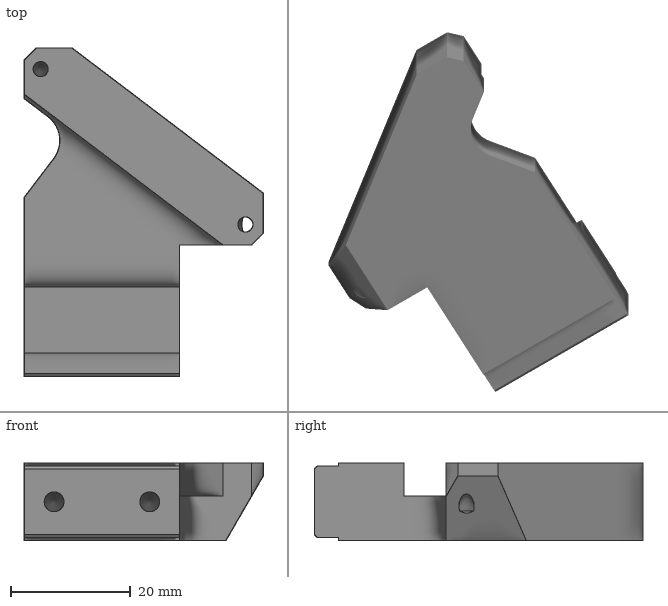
import cadquery as cq
import math

LENGTH_X = 40.0
LENGTH_Y = 55.0
HEIGHT = 13.0

STEM_WIDTH = 26.0
OVERHANG_Y = 22.0
CORNER_CHAMFER = 2.0

BAR_ANGLE = math.radians(37.2)
BAR_TOP_X = 8.0
BAR_WIDTH = 11.0
BAR_SLOPE = math.tan(BAR_ANGLE)

NOTCH_BAR_GAP = 0.6
NOTCH_START_Y = 30.0
NOTCH_RADIUS = 5.0

FLOOR_Z = 7.5
BLOCK_BACK_Y = 15.0

TONGUE_LENGTH = 4.0
TONGUE_STEP = 0.5
TONGUE_CHAMFER = 0.5

UNDERCUT_X = 33.75
UNDERCUT_ANGLE = math.radians(60)

DRILL_POINT_ANGLE = math.radians(118)
BAR_HOLE_DIAMETER = 2.5
BAR_HOLE_DEPTH = 8.0
BAR_HOLE_INSET = 5.0
BAR_HOLE_FIRST_X = 2.75
BAR_HOLE_SPACING = 43.0
FRONT_HOLE_DIAMETER = 3.3
FRONT_HOLE_DEPTH = 10.0
FRONT_HOLE_XS = (5.0, 21.0)
FRONT_HOLE_Z = HEIGHT / 2


def bar_line_y(x, inset):
    """Y at x on the line parallel to the bar, inset from its outer side."""
    return LENGTH_Y + (BAR_TOP_X - x) * BAR_SLOPE - inset / math.cos(BAR_ANGLE)


def make_body():
    return (
        cq.Workplane("XY")
        .moveTo(0, 0)
        .lineTo(STEM_WIDTH, 0)
        .lineTo(STEM_WIDTH, OVERHANG_Y)
        .lineTo(LENGTH_X - CORNER_CHAMFER, OVERHANG_Y)
        .lineTo(LENGTH_X, OVERHANG_Y + CORNER_CHAMFER)
        .lineTo(LENGTH_X, bar_line_y(LENGTH_X, 0))
        .lineTo(BAR_TOP_X, LENGTH_Y)
        .lineTo(CORNER_CHAMFER, LENGTH_Y)
        .lineTo(0, LENGTH_Y - CORNER_CHAMFER)
        .close()
        .extrude(HEIGHT)
    )


def make_notch():
    """Right-angled prism with a rounded inner corner, open to the left side."""
    upper_y = bar_line_y(0, BAR_WIDTH + NOTCH_BAR_GAP)
    corner_x = (upper_y - NOTCH_START_Y) / (BAR_SLOPE + 1 / BAR_SLOPE)
    corner_y = upper_y - corner_x * BAR_SLOPE
    return (
        cq.Workplane("XY")
        .polyline([(0, NOTCH_START_Y), (corner_x, corner_y), (0, upper_y)])
        .close()
        .extrude(HEIGHT)
        .edges("|Z and >X")
        .fillet(NOTCH_RADIUS)
    )


def make_floor_cut():
    """Space above the floor, from the front block to the inner side of the bar."""
    return (
        cq.Workplane("XY", origin=(0, 0, FLOOR_Z))
        .moveTo(0, BLOCK_BACK_Y)
        .lineTo(LENGTH_X, BLOCK_BACK_Y)
        .lineTo(LENGTH_X, bar_line_y(LENGTH_X, BAR_WIDTH))
        .lineTo(0, bar_line_y(0, BAR_WIDTH))
        .close()
        .extrude(HEIGHT - FLOOR_Z)
    )


def make_tongue_cut():
    """Material around the tongue: a full-height block less the tongue itself."""
    block = cq.Workplane("XY").box(STEM_WIDTH, TONGUE_LENGTH, HEIGHT, centered=False)
    tongue = (
        cq.Workplane("XY", origin=(0, 0, TONGUE_STEP))
        .box(STEM_WIDTH, TONGUE_LENGTH, HEIGHT - 2 * TONGUE_STEP, centered=False)
        .edges("|X and <Y")
        .chamfer(TONGUE_CHAMFER)
    )
    return block.cut(tongue)


def make_undercut():
    """Wedge below the sloping face of the right end, running the full Y length."""
    slope_top_z = (LENGTH_X - UNDERCUT_X) * math.tan(UNDERCUT_ANGLE)
    return (
        cq.Workplane("XZ")
        .polyline([(UNDERCUT_X, 0), (LENGTH_X, 0), (LENGTH_X, slope_top_z)])
        .close()
        .extrude(-LENGTH_Y)
    )


def make_drill(diameter, depth, start, direction):
    """Blind hole with a conical point; depth is that of the cylindrical part."""
    radius = diameter / 2
    point_depth = radius / math.tan(DRILL_POINT_ANGLE / 2)
    axis = cq.Vector(*direction)
    shoulder = cq.Vector(*start) + axis * depth
    shank = cq.Solid.makeCylinder(radius, depth, cq.Vector(*start), axis)
    point = cq.Solid.makeCone(radius, 0, point_depth, shoulder, axis)
    return cq.Workplane(shank.fuse(point))


def cut_bar_holes(part):
    for distance in (0, BAR_HOLE_SPACING):
        x = BAR_HOLE_FIRST_X + distance * math.cos(BAR_ANGLE)
        y = bar_line_y(x, BAR_WIDTH - BAR_HOLE_INSET)
        part = part.cut(make_drill(BAR_HOLE_DIAMETER, BAR_HOLE_DEPTH, (x, y, HEIGHT), (0, 0, -1)))
    return part


def cut_front_holes(part):
    for x in FRONT_HOLE_XS:
        start = (x, 0, FRONT_HOLE_Z)
        part = part.cut(make_drill(FRONT_HOLE_DIAMETER, FRONT_HOLE_DEPTH, start, (0, 1, 0)))
    return part


body = make_body()
for removed in (make_notch(), make_floor_cut(), make_tongue_cut(), make_undercut()):
    body = body.cut(removed)
body = cut_bar_holes(body)
result = cut_front_holes(body)